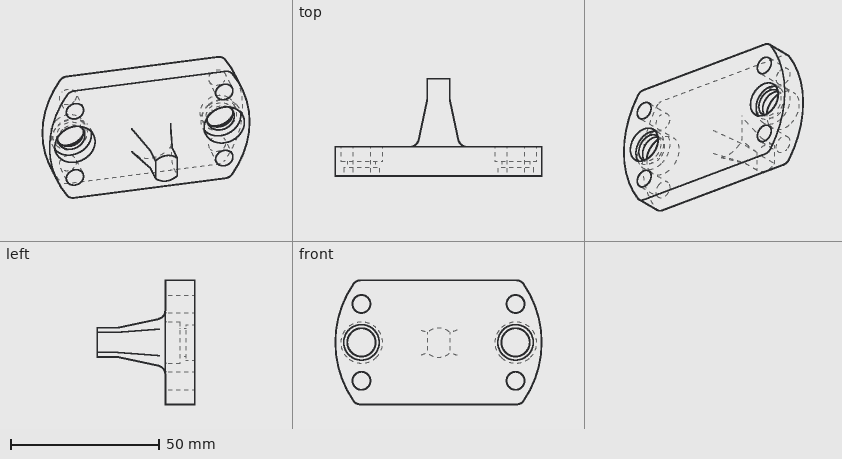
import cadquery as cq
import math

plate_length = 69.75
plate_height = 42.0
plate_thickness = 10.0
plate_corner_radius = 3.0

hole_column_x = 26.0
screw_hole_diameter = 6.0
screw_hole_z = 13.0
bore_diameter = 9.5
front_counterbore_diameter = 12.0
back_counterbore_diameter = 14.0
front_counterbore_depth = 3.0
lip_thickness = 2.0
back_counterbore_depth = plate_thickness - front_counterbore_depth - lip_thickness

overall_depth = 33.0
tip_length = 7.0
neck_length = overall_depth - plate_thickness - tip_length
neck_draft = 12.0
neck_fillet = 3.0
tip_width = 7.6
tip_height = 10.0
tip_crown_radius = 5.4


def cylinder_along_y(x, z, diameter, start_y, length):
    """Cylinder that runs toward +Y from start_y."""
    axis_start = cq.Vector(x, start_y, z)
    return cq.Workplane(cq.Solid.makeCylinder(diameter / 2, length, axis_start, cq.Vector(0, 1, 0)))


def stem_section(y, growth):
    """Wire with flat sides and crowned ends; growth offsets the tip section outward."""
    half_width = tip_width / 2 + growth
    half_height = tip_height / 2 + growth
    crown_radius = tip_crown_radius + growth
    crown_centre_z = half_height - crown_radius
    corner_z = crown_centre_z + math.sqrt(crown_radius**2 - half_width**2)
    return (
        cq.Workplane("XZ", origin=(0, y, 0))
        .moveTo(-half_width, -corner_z)
        .lineTo(-half_width, corner_z)
        .threePointArc((0, half_height), (half_width, corner_z))
        .lineTo(half_width, -corner_z)
        .threePointArc((0, -half_height), (-half_width, -corner_z))
        .close()
    )


def make_plate():
    disc = cylinder_along_y(0, 0, plate_length, 0, plate_thickness)
    band = cq.Workplane("XY").box(plate_length, 2 * plate_thickness, plate_height)
    return disc.intersect(band).edges("|Y").fillet(plate_corner_radius)


def make_stem():
    neck_end_y = plate_thickness + neck_length
    base_growth = neck_length * math.tan(math.radians(neck_draft))
    base_wire = stem_section(plate_thickness, base_growth).val()
    neck_end_section = stem_section(neck_end_y, 0)
    neck = cq.Solid.makeLoft([base_wire, neck_end_section.val()], True)
    tip = neck_end_section.extrude(-tip_length)
    return tip.union(cq.Workplane(neck))


def cut_holes(body):
    back_counterbore_y = plate_thickness - back_counterbore_depth
    for x in (-hole_column_x, hole_column_x):
        for z in (-screw_hole_z, screw_hole_z):
            body = body.cut(cylinder_along_y(x, z, screw_hole_diameter, 0, plate_thickness))
        body = body.cut(cylinder_along_y(x, 0, bore_diameter, 0, plate_thickness))
        body = body.cut(
            cylinder_along_y(x, 0, front_counterbore_diameter, 0, front_counterbore_depth)
        )
        body = body.cut(
            cylinder_along_y(x, 0, back_counterbore_diameter, back_counterbore_y, back_counterbore_depth)
        )
    return body


body = make_plate().union(make_stem())
selection_margin = 0.1
stem_foot = cq.selectors.BoxSelector(
    (-tip_height, plate_thickness - selection_margin, -tip_height),
    (tip_height, plate_thickness + selection_margin, tip_height),
)
body = body.edges(stem_foot).fillet(neck_fillet)

result = cut_holes(body)